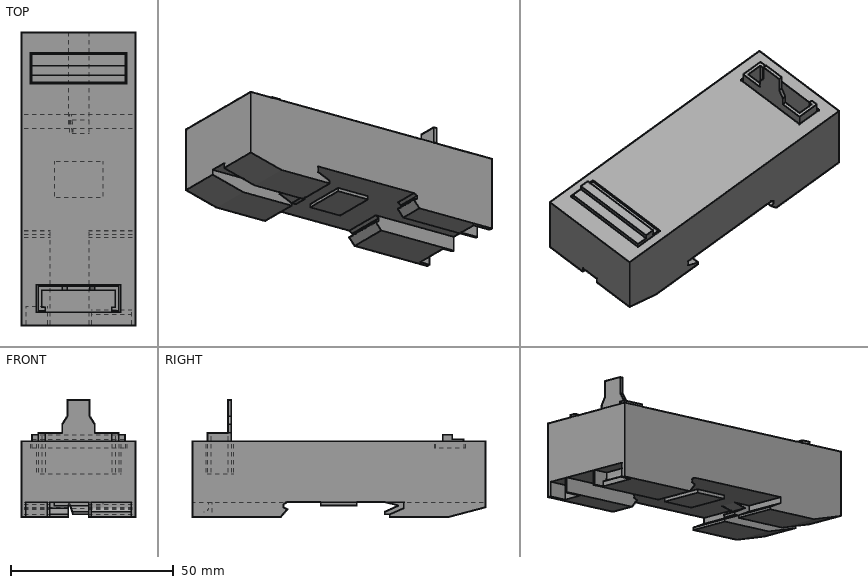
import cadquery as cq

WIDTH = 35.0
LENGTH = 90.0
TOTAL_HEIGHT = 36.0
BODY_TOP = 23.35
MID_X = WIDTH / 2

CHANNEL_TOP = 4.6
REAR_CHAMFER_LENGTH = 11.4
REAR_CHAMFER_HEIGHT = 3.0
HOOK_TIP_Y = 60.5
HOOK_TIP_TOP = 0.8
HOOK_ROOT_Y = 64.9
HOOK_ROOT_Z = 2.75
NOSE_TIP_Y = 29.2
NOSE_TIP_Z = 2.4
NOSE_NECK_Y = 28.0
NOSE_NECK_BOTTOM = 3.0
NOSE_NECK_TOP = 3.9
NOSE_CEILING_Y = 29.1
NOSE_FOOT_Y = 27.1

OUTER_RIB = 1.35
INNER_RIB = 0.8
LEFT_BAY_END = 7.9
MIDDLE_BAY_START = LEFT_BAY_END + INNER_RIB
MIDDLE_BAY_END = 20.6
RIGHT_BAY_START = MIDDLE_BAY_END + INNER_RIB
LEFT_BAY_DEPTH = 6.0
RIGHT_BAY_DEPTH = 3.5
RIGHT_LEDGE_Z = 1.63
RIGHT_LEDGE_RADIUS = 1.4

SLOT_START = WIDTH - MIDDLE_BAY_END
SLOT_END = MIDDLE_BAY_END
CLIP_TIP_Y = 59.0
CLIP_TIP_TOP = 1.63
CLIP_NOTCH_Y = 63.2
CLIP_NOTCH_Z = 3.55
CLIP_SIDE_TOP_X = 14.6
CLIP_SIDE_BOTTOM_X = 15.8

PAD_WIDTH = 15.0
PAD_BOTTOM = 3.5
PAD_START_Y = 39.4
PAD_END_Y = 50.5

SOCKET_WIDTH = 24.7
SOCKET_START_Y = 4.6
SOCKET_END_Y = 12.0
SOCKET_WALL = 1.1
SOCKET_LIP = SOCKET_WALL
SOCKET_TOP = 25.85
SOCKET_GAP = 0.55
SOCKET_DEPTH = 10.0
TONGUE_BASE_WIDTH = 10.0
TONGUE_TIP_WIDTH = 6.9
TONGUE_TAPER_START = 28.5
TONGUE_TAPER_END = 30.95

KEY_WIDTH = 28.6
KEY_START_Y = 74.6
KEY_RIDGE_START_Y = 76.8
KEY_RIDGE_END_Y = 79.8
KEY_END_Y = 83.25
KEY_TOP = 25.3
KEY_STEP_TOP = 23.95
KEY_GAP = 0.45
KEY_GAP_DEPTH = 2.0


def block(x_start, x_end, y_start, y_end, z_start, z_end):
    """Box given by its limits along each axis."""
    size = (x_end - x_start, y_end - y_start, z_end - z_start)
    return cq.Workplane("XY").box(*size, centered=False).translate((x_start, y_start, z_start))


def centred_block(width, y_start, y_end, z_start, z_end):
    """Box centred across the width of the housing."""
    return block(MID_X - width / 2, MID_X + width / 2, y_start, y_end, z_start, z_end)


def side_prism(points, x_start, x_end):
    """Outline of (Y, Z) points extruded along X."""
    return cq.Workplane("YZ", origin=(x_start, 0, 0)).polyline(points).close().extrude(x_end - x_start)


def make_body():
    outline = [
        (0, 0),
        (NOSE_FOOT_Y, 0),
        (NOSE_TIP_Y, NOSE_TIP_Z),
        (NOSE_NECK_Y, NOSE_NECK_BOTTOM),
        (NOSE_NECK_Y, NOSE_NECK_TOP),
        (NOSE_CEILING_Y, CHANNEL_TOP),
        (HOOK_ROOT_Y, CHANNEL_TOP),
        (HOOK_ROOT_Y, HOOK_ROOT_Z),
        (HOOK_TIP_Y, HOOK_TIP_TOP),
        (HOOK_TIP_Y, 0),
        (LENGTH - REAR_CHAMFER_LENGTH, 0),
        (LENGTH, REAR_CHAMFER_HEIGHT),
        (LENGTH, BODY_TOP),
        (0, BODY_TOP),
    ]
    return side_prism(outline, 0, WIDTH)


def make_right_bay():
    """Bay whose back wall steps back over a ledge with a rounded inner corner."""
    wall_y = RIGHT_BAY_DEPTH + RIGHT_LEDGE_RADIUS
    corner_top = RIGHT_LEDGE_Z + RIGHT_LEDGE_RADIUS
    bay = (
        cq.Workplane("YZ", origin=(RIGHT_BAY_START, 0, 0))
        .lineTo(RIGHT_BAY_DEPTH, 0)
        .lineTo(RIGHT_BAY_DEPTH, RIGHT_LEDGE_Z)
        .radiusArc((wall_y, corner_top), -RIGHT_LEDGE_RADIUS)
        .lineTo(wall_y, CHANNEL_TOP)
        .lineTo(0, CHANNEL_TOP)
        .close()
    )
    return bay.extrude(WIDTH - OUTER_RIB - RIGHT_BAY_START)


def cut_front_bays(body):
    left = block(OUTER_RIB, LEFT_BAY_END, 0, LEFT_BAY_DEPTH, 0, CHANNEL_TOP)
    middle = block(MIDDLE_BAY_START, MIDDLE_BAY_END, 0, NOSE_TIP_Y, 0, CHANNEL_TOP)
    return body.cut(left).cut(middle).cut(make_right_bay())


def make_clip():
    """V-shaped spring with a slanted left side."""
    profile = [
        (CLIP_TIP_Y, CHANNEL_TOP),
        (CLIP_NOTCH_Y, CLIP_NOTCH_Z),
        (CLIP_TIP_Y, CLIP_TIP_TOP),
        (CLIP_TIP_Y, HOOK_TIP_TOP),
        (HOOK_TIP_Y, HOOK_TIP_TOP),
        (HOOK_ROOT_Y, HOOK_ROOT_Z),
        (HOOK_ROOT_Y, CHANNEL_TOP),
    ]
    clip = side_prism(profile, SLOT_START, SLOT_END)
    side_envelope = (
        cq.Workplane("XZ")
        .moveTo(CLIP_SIDE_TOP_X, CHANNEL_TOP)
        .lineTo(CLIP_SIDE_BOTTOM_X, HOOK_TIP_TOP)
        .lineTo(SLOT_END, HOOK_TIP_TOP)
        .lineTo(SLOT_END, CHANNEL_TOP)
        .close()
        .extrude(-LENGTH)
    )
    return clip.intersect(side_envelope)


def add_clip(body):
    slot = block(SLOT_START, SLOT_END, HOOK_TIP_Y, LENGTH, 0, CHANNEL_TOP)
    return body.cut(slot).union(make_clip())


def add_rail_pad(body):
    return body.union(centred_block(PAD_WIDTH, PAD_START_Y, PAD_END_Y, PAD_BOTTOM, CHANNEL_TOP))


def make_tongue():
    """Flat tongue rising from the back wall of the socket, narrowing towards its tip."""
    half_base = TONGUE_BASE_WIDTH / 2
    half_tip = TONGUE_TIP_WIDTH / 2
    outline = [
        (-half_base, SOCKET_TOP),
        (-half_base, TONGUE_TAPER_START),
        (-half_tip, TONGUE_TAPER_END),
        (-half_tip, TOTAL_HEIGHT),
        (half_tip, TOTAL_HEIGHT),
        (half_tip, TONGUE_TAPER_END),
        (half_base, TONGUE_TAPER_START),
        (half_base, SOCKET_TOP),
    ]
    plane = cq.Workplane("XZ", origin=(MID_X, SOCKET_END_Y, 0))
    return plane.polyline(outline).close().extrude(SOCKET_WALL)


def add_socket(body):
    """C-shaped wall open to the front, standing in a recess with a gap all round."""
    floor = BODY_TOP - SOCKET_DEPTH
    inner_width = SOCKET_WIDTH - 2 * SOCKET_WALL
    mouth_width = inner_width - 2 * SOCKET_LIP
    inner_start = SOCKET_START_Y + SOCKET_WALL
    inner_end = SOCKET_END_Y - SOCKET_WALL
    recess = centred_block(
        SOCKET_WIDTH + 2 * SOCKET_GAP, SOCKET_START_Y - SOCKET_GAP, SOCKET_END_Y + SOCKET_GAP, floor, BODY_TOP
    )
    wall = centred_block(SOCKET_WIDTH, SOCKET_START_Y, SOCKET_END_Y, floor, SOCKET_TOP)
    wall = wall.cut(centred_block(inner_width, inner_start, inner_end, floor, SOCKET_TOP))
    wall = wall.cut(centred_block(mouth_width, SOCKET_START_Y, inner_start, floor, SOCKET_TOP))
    return body.cut(recess).union(wall).union(make_tongue())


def add_key(body):
    """Stepped key with a narrow groove all round; its front ledge is flush with the top."""
    floor = BODY_TOP - KEY_GAP_DEPTH
    recess = centred_block(
        KEY_WIDTH + 2 * KEY_GAP, KEY_START_Y - KEY_GAP, KEY_END_Y + KEY_GAP, floor, BODY_TOP
    )
    profile = [
        (KEY_START_Y, floor),
        (KEY_START_Y, BODY_TOP),
        (KEY_RIDGE_START_Y, BODY_TOP),
        (KEY_RIDGE_START_Y, KEY_TOP),
        (KEY_RIDGE_END_Y, KEY_TOP),
        (KEY_RIDGE_END_Y, KEY_STEP_TOP),
        (KEY_END_Y, KEY_STEP_TOP),
        (KEY_END_Y, floor),
    ]
    key = side_prism(profile, MID_X - KEY_WIDTH / 2, MID_X + KEY_WIDTH / 2)
    return body.cut(recess).union(key)


result = make_body()
result = cut_front_bays(result)
result = add_clip(result)
result = add_rail_pad(result)
result = add_socket(result)
result = add_key(result)